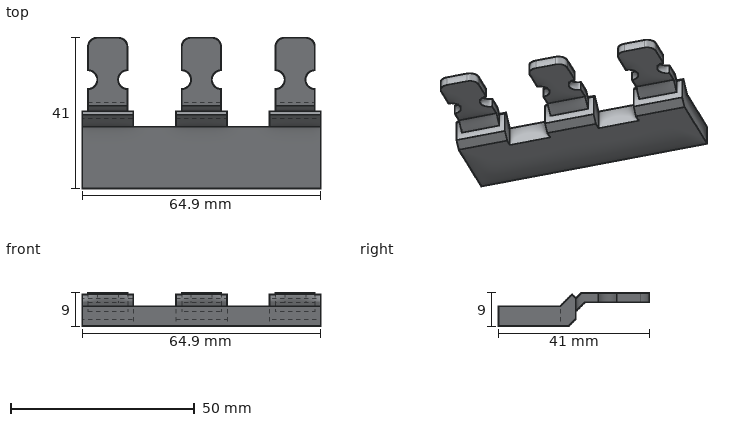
import cadquery as cq
import math

bar_length = 64.9
bar_depth = 16.8
bar_height = 5.45

shoulder_count = 3
shoulder_width = 13.95
shoulder_back = 21.05
ridge_bevel = 1.05
bottom_chamfer = 1.95
ridge_y = shoulder_back - ridge_bevel
ridge_z = bar_height + ridge_y - bar_depth
bevel_foot_z = ridge_z - ridge_bevel
shoulder_pitch = (bar_length - shoulder_width) / (shoulder_count - 1)

tab_width = 10.8
tab_thickness = 2.5
tab_end = 41.0
tab_top = 9.0
tab_bend_y = shoulder_back + tab_top - bevel_foot_z
tab_corner_radius = 2.5
notch_radius = 2.5
notch_y = 29.6


def extrude_profile(points, width, center_x):
    """Extrude a closed (Y, Z) outline symmetrically about center_x."""
    profile = cq.Workplane("YZ").polyline(points).close()
    return profile.extrude(width / 2, both=True).translate((center_x, 0, 0))


def make_shoulder(center_x):
    points = [
        (0, 0),
        (shoulder_back - bottom_chamfer, 0),
        (shoulder_back, bottom_chamfer),
        (shoulder_back, bevel_foot_z),
        (ridge_y, ridge_z),
        (bar_depth, bar_height),
        (0, bar_height),
    ]
    return extrude_profile(points, shoulder_width, center_x)


def make_tab(center_x):
    tab_bottom = tab_top - tab_thickness
    lower_bend_y = tab_bend_y + tab_thickness * math.tan(math.radians(22.5))
    points = [
        (shoulder_back, bevel_foot_z),
        (tab_bend_y, tab_top),
        (tab_end, tab_top),
        (tab_end, tab_bottom),
        (lower_bend_y, tab_bottom),
        (shoulder_back, tab_bottom - (lower_bend_y - shoulder_back)),
    ]
    tab = extrude_profile(points, tab_width, center_x)
    tab = tab.edges("|Z and >Y").fillet(tab_corner_radius)

    notches = (
        cq.Workplane("XY")
        .pushPoints([(center_x + side * tab_width / 2, notch_y) for side in (-1, 1)])
        .circle(notch_radius)
        .extrude(tab_top)
    )
    return tab.cut(notches)


result = cq.Workplane("XY").box(bar_length, bar_depth, bar_height, centered=(True, False, False))
for index in range(shoulder_count):
    x = (index - (shoulder_count - 1) / 2) * shoulder_pitch
    result = result.union(make_shoulder(x)).union(make_tab(x))